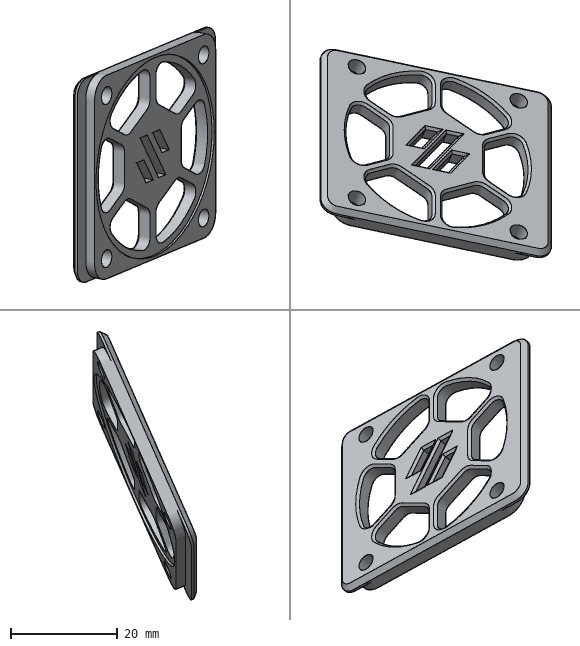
import cadquery as cq
import math

PLATE_WIDTH = 45.6
PLATE_HEIGHT = 40.0
PLATE_THICKNESS = 1.5
PLATE_CORNER_RADIUS = 3.0
PLATE_CHAMFER = 1.0

TOTAL_DEPTH = 3.5
BODY_SIDE = PLATE_HEIGHT
BODY_CORNER_RADIUS = 4.0

RECESS_DIAMETER = 39.0
RECESS_DEPTH = 0.5

HOLE_DIAMETER = 3.4
HOLE_SPACING = 32.0

VENT_COUNT = 6
VENT_OUTER_RADIUS = 18.0
HUB_APOTHEM = 9.35
SPOKE_WIDTH = 2.0
VENT_CORNER_RADIUS = 2.0

SLOT_WIDTH = 2.35
SLOT_LONG_HEIGHT = 9.3
SLOT_SHORT_HEIGHT = 4.7
SLOT_PITCH = 4.15
SLOT_LEAN = 0.66

OPENING_CHAMFER = 0.5


def plane_at(depth):
    """Workplane facing +X at the given depth behind the front face."""
    return cq.Workplane("YZ", origin=(depth, 0, 0))


def rounded_slab(front, back, width, height, corner_radius):
    """Rectangular slab between two depths, with rounded corners."""
    return (
        plane_at(front)
        .rect(width, height)
        .extrude(back - front)
        .edges("|X")
        .fillet(corner_radius)
    )


def make_frame():
    """Chamfered plate and body, with the back recess and the screw holes."""
    plate = rounded_slab(0, PLATE_THICKNESS, PLATE_WIDTH, PLATE_HEIGHT, PLATE_CORNER_RADIUS)
    plate = plate.faces("<X").chamfer(PLATE_CHAMFER)
    body = rounded_slab(PLATE_THICKNESS, TOTAL_DEPTH, BODY_SIDE, BODY_SIDE, BODY_CORNER_RADIUS)
    recess = (
        plane_at(TOTAL_DEPTH - RECESS_DEPTH)
        .circle(RECESS_DIAMETER / 2)
        .extrude(RECESS_DEPTH)
    )
    screw_holes = (
        plane_at(0)
        .rect(HOLE_SPACING, HOLE_SPACING, forConstruction=True)
        .vertices()
        .circle(HOLE_DIAMETER / 2)
        .extrude(TOTAL_DEPTH)
    )
    return plate.union(body).cut(recess).cut(screw_holes)


def add_bevel(cutter, corner_kind):
    """Widen the front end of a straight cutter with a 45 degree bevel."""
    bevel = (
        plane_at(0)
        .add(cutter.faces("<X").wires())
        .toPending()
        .offset2D(OPENING_CHAMFER, corner_kind)
        .extrude(OPENING_CHAMFER, taper=45)
    )
    return cutter.union(bevel)


def make_vent():
    """Cutter for the vent on the +Y side of the hub."""
    half_sector = math.pi / VENT_COUNT
    half_spoke = SPOKE_WIDTH / 2
    inner_z = HUB_APOTHEM * math.tan(half_sector) - half_spoke / math.cos(half_sector)
    outer_angle = half_sector - math.asin(half_spoke / VENT_OUTER_RADIUS)
    outer_y = VENT_OUTER_RADIUS * math.cos(outer_angle)
    outer_z = VENT_OUTER_RADIUS * math.sin(outer_angle)
    cutter = (
        plane_at(0)
        .moveTo(HUB_APOTHEM, -inner_z)
        .lineTo(outer_y, -outer_z)
        .threePointArc((VENT_OUTER_RADIUS, 0), (outer_y, outer_z))
        .lineTo(HUB_APOTHEM, inner_z)
        .close()
        .extrude(TOTAL_DEPTH)
        .edges("|X")
        .fillet(VENT_CORNER_RADIUS)
    )
    return add_bevel(cutter, "arc")


def make_slot(shift, bottom, top):
    """Cutter for a slanted slot whose centre line crosses Z = 0 at Y = shift."""
    bottom_y = shift - SLOT_LEAN * bottom
    top_y = shift - SLOT_LEAN * top
    half_width = SLOT_WIDTH / 2
    cutter = (
        plane_at(0)
        .moveTo(bottom_y - half_width, bottom)
        .lineTo(bottom_y + half_width, bottom)
        .lineTo(top_y + half_width, top)
        .lineTo(top_y - half_width, top)
        .close()
        .extrude(TOTAL_DEPTH)
    )
    return add_bevel(cutter, "intersection")


result = make_frame()

vent = make_vent()
for index in range(VENT_COUNT):
    result = result.cut(vent.rotate((0, 0, 0), (1, 0, 0), index * 360 / VENT_COUNT))

slot_top = SLOT_LONG_HEIGHT / 2
result = result.cut(make_slot(0, -slot_top, slot_top))
result = result.cut(make_slot(SLOT_PITCH, slot_top - SLOT_SHORT_HEIGHT, slot_top))
result = result.cut(make_slot(-SLOT_PITCH, -slot_top, SLOT_SHORT_HEIGHT - slot_top))